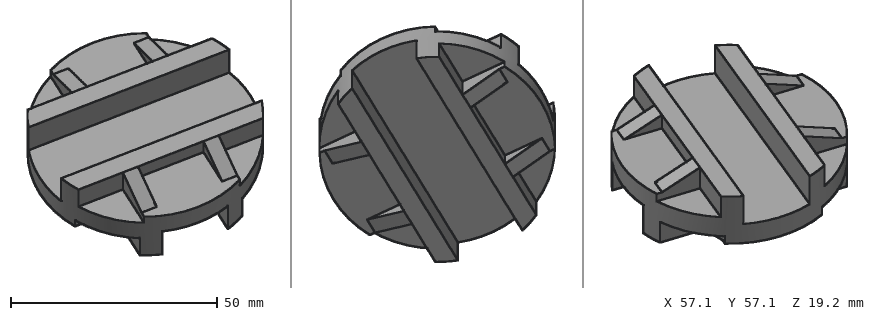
import cadquery as cq

diameter = 57.1
height = 19.2
radius = diameter / 2
top = height / 2

slot_width = 17.7
slot_depth = 8.85
wall_outer = 13.9

band_width = 25.9
band_depth = 4.2
end_depth = 6.55

rib_thickness = 4.1
rib_foot = 24.05


def upper_block(width_x, width_y, depth):
    """Block from the middle plane up to the given depth below the top face."""
    return cq.Workplane("XY").box(width_x, width_y, top - depth, centered=(True, True, False))


def rib(side, y_start):
    """Triangular rib sloping from the wall top down to the band surface."""
    profile = [
        (side * wall_outer, top),
        (side * rib_foot, top - band_depth),
        (side * wall_outer, top - band_depth),
    ]
    return (
        cq.Workplane("XZ", origin=(0, y_start + rib_thickness, 0))
        .polyline(profile)
        .close()
        .extrude(rib_thickness)
    )


def upper_half():
    """Walls, band and ribs above the middle plane, trimmed to the disc."""
    half = cq.Workplane("XY").circle(radius).extrude(top - end_depth)
    half = half.union(upper_block(diameter, band_width, band_depth))
    half = half.union(upper_block(2 * wall_outer, diameter, 0))
    for side in (-1, 1):
        for y_start in (-band_width / 2, band_width / 2 - rib_thickness):
            half = half.union(rib(side, y_start))
    slot = upper_block(slot_width, diameter, 0).translate((0, 0, top - slot_depth))
    return half.cut(slot).intersect(cq.Workplane("XY").circle(radius).extrude(top))


upper = upper_half()
lower = upper.rotate((0, 0, 0), (1, 0, 0), 180).rotate((0, 0, 0), (0, 0, 1), 90)
result = upper.union(lower)